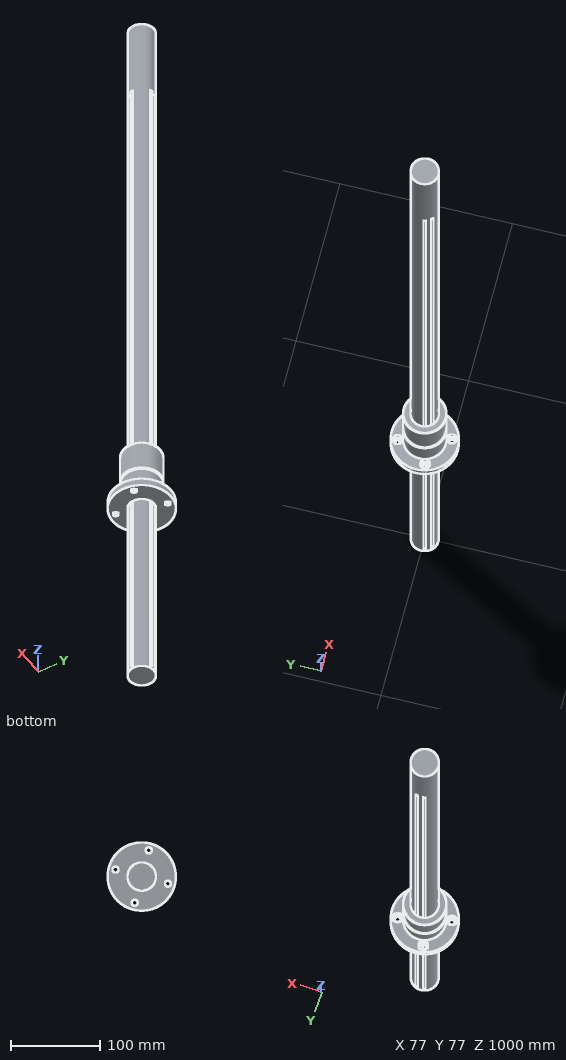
import cadquery as cq
import math

SHAFT_LENGTH = 1000.0
SHAFT_DIAMETER = 32.0
PLAIN_END_LENGTH = 100.0
PLAIN_FOOT_LENGTH = 5.0

CREST_COUNT = 3
FIRST_CREST_ANGLE = 90.0
GROOVE_OFFSET_ANGLE = 16.0
GROOVE_DIAMETER = 3.0

NUT_BOTTOM = 260.0
NUT_LENGTH = 80.0
NUT_DIAMETER = 49.0
NUT_CHAMFER = 0.5
FLANGE_DIAMETER = 77.0
FLANGE_THICKNESS = 10.0

HOLE_COUNT = 4
FIRST_HOLE_ANGLE = 15.0
HOLE_CIRCLE_DIAMETER = 61.0
HOLE_DIAMETER = 6.6
COUNTERBORE_DIAMETER = 11.0
COUNTERBORE_DEPTH = 6.5

RING_WIDTH = 1.5
RING_DEPTH = 0.5
RING_HEIGHT = NUT_LENGTH / 2


def polar_point(radius, angle):
    """Point in the XY plane at a radius and an angle in degrees."""
    turn = math.radians(angle)
    return (radius * math.cos(turn), radius * math.sin(turn))


def make_spline_shaft():
    """Round bar with ball grooves that stop short of both plain ends."""
    crest_step = 360 / CREST_COUNT
    groove_centers = [
        polar_point(SHAFT_DIAMETER / 2, FIRST_CREST_ANGLE + i * crest_step + side * GROOVE_OFFSET_ANGLE)
        for i in range(CREST_COUNT)
        for side in (-1, 1)
    ]
    grooves = (
        cq.Workplane("XY", origin=(0, 0, PLAIN_FOOT_LENGTH))
        .pushPoints(groove_centers)
        .circle(GROOVE_DIAMETER / 2)
        .extrude(SHAFT_LENGTH - PLAIN_END_LENGTH - PLAIN_FOOT_LENGTH)
    )
    bar = cq.Workplane("XY").circle(SHAFT_DIAMETER / 2).extrude(SHAFT_LENGTH)
    return bar.cut(grooves)


def make_ring_groove():
    """Ring that cuts the shallow groove around the nut."""
    return (
        cq.Workplane("XY", origin=(0, 0, NUT_BOTTOM + RING_HEIGHT - RING_WIDTH / 2))
        .circle(FLANGE_DIAMETER / 2)
        .circle(NUT_DIAMETER / 2 - RING_DEPTH)
        .extrude(RING_WIDTH)
    )


def make_nut():
    """Flanged sleeve that slides on the shaft."""
    hole_centers = [
        polar_point(HOLE_CIRCLE_DIAMETER / 2, FIRST_HOLE_ANGLE + i * 360 / HOLE_COUNT)
        for i in range(HOLE_COUNT)
    ]
    flange = (
        cq.Workplane("XY", origin=(0, 0, NUT_BOTTOM))
        .circle(FLANGE_DIAMETER / 2)
        .extrude(FLANGE_THICKNESS)
        .faces(">Z")
        .workplane()
        .pushPoints(hole_centers)
        .cboreHole(HOLE_DIAMETER, COUNTERBORE_DIAMETER, COUNTERBORE_DEPTH)
    )
    sleeve = (
        cq.Workplane("XY", origin=(0, 0, NUT_BOTTOM))
        .circle(NUT_DIAMETER / 2)
        .extrude(NUT_LENGTH)
        .faces(">Z")
        .chamfer(NUT_CHAMFER)
    )
    bore = (
        cq.Workplane("XY", origin=(0, 0, NUT_BOTTOM))
        .circle(SHAFT_DIAMETER / 2)
        .extrude(NUT_LENGTH)
    )
    return flange.union(sleeve).cut(bore).cut(make_ring_groove())


spline_shaft = make_spline_shaft()
nut = make_nut()
result = cq.Compound.makeCompound([spline_shaft.val(), nut.val()])